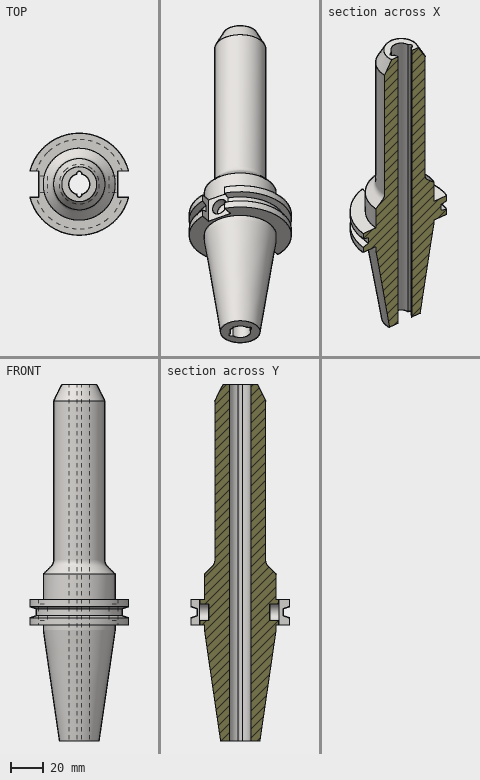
import cadquery as cq
import math

total_height = 220.6

gauge_radius = 22.3
taper_height = 68.5
taper_ratio = 7 / 24
small_end_radius = gauge_radius - taper_height * taper_ratio / 2

flange_diameter = 63.3
flange_radius = flange_diameter / 2
flange_bottom = 71.7
flange_height = 15.9
flange_top = flange_bottom + flange_height
flange_middle = flange_bottom + flange_height / 2
groove_floor_radius = 27.8
groove_mouth = 6.8
groove_floor_width = 4.2

slot_width = 16.0
left_floor_distance = 25.2
right_floor_distance = 23.8
recess_diameter = 10.1
recess_depth = 5.5

shoulder_bottom = 103.3
nose_radius = 15.9
shoulder_angle = 45
blend_radius = 5.5
shoulder_top = shoulder_bottom + (gauge_radius - nose_radius) * math.tan(math.radians(shoulder_angle))

tip_radius = 10.8
tip_bevel_height = 10.1

bore_radius = 6.5
coolant_radius = 1.5


def turned_body():
    """Revolve the shank, flange, shoulder and nose about Z."""
    blend_tangent = blend_radius * math.tan(math.radians(shoulder_angle / 2))
    slope_drop = blend_tangent * math.sin(math.radians(shoulder_angle))
    slope_out = blend_tangent * math.cos(math.radians(shoulder_angle))
    blend_centre_x = nose_radius + blend_radius
    blend_centre_z = shoulder_top + blend_tangent
    half_angle = math.radians(shoulder_angle / 2)
    blend_middle = (
        blend_centre_x - blend_radius * math.cos(half_angle),
        blend_centre_z - blend_radius * math.sin(half_angle),
    )
    return (
        cq.Workplane("XZ")
        .lineTo(small_end_radius, 0)
        .lineTo(gauge_radius, taper_height)
        .lineTo(gauge_radius, flange_bottom)
        .lineTo(flange_radius, flange_bottom)
        .lineTo(flange_radius, flange_middle - groove_mouth / 2)
        .lineTo(groove_floor_radius, flange_middle - groove_floor_width / 2)
        .lineTo(groove_floor_radius, flange_middle + groove_floor_width / 2)
        .lineTo(flange_radius, flange_middle + groove_mouth / 2)
        .lineTo(flange_radius, flange_top)
        .lineTo(gauge_radius, flange_top)
        .lineTo(gauge_radius, shoulder_bottom)
        .lineTo(nose_radius + slope_out, shoulder_top - slope_drop)
        .threePointArc(blend_middle, (nose_radius, blend_centre_z))
        .lineTo(nose_radius, total_height - tip_bevel_height)
        .lineTo(tip_radius, total_height)
        .lineTo(0, total_height)
        .close()
        .revolve(360, (0, 0, 0), (0, 1, 0))
    )


def drive_slot(side, floor_distance):
    """Slot through the flange and the recess in its floor; side is +1 or -1 along X."""
    slot_depth = flange_radius - floor_distance
    slot = cq.Workplane("XY").box(slot_depth, slot_width, flange_height)
    slot = slot.translate((side * (floor_distance + slot_depth / 2), 0, flange_middle))
    recess = (
        cq.Workplane("YZ", origin=(side * floor_distance, 0, flange_middle))
        .circle(recess_diameter / 2)
        .extrude(-side * recess_depth)
    )
    return slot.union(recess)


def bore():
    """Through bore with a pair of coolant grooves along its full length."""
    hole = cq.Workplane("XY").circle(bore_radius).extrude(total_height)
    grooves = (
        cq.Workplane("XY")
        .pushPoints([(0, -bore_radius), (0, bore_radius)])
        .circle(coolant_radius)
        .extrude(total_height)
    )
    return hole.union(grooves)


result = turned_body().cut(bore())
result = result.cut(drive_slot(-1, left_floor_distance))
result = result.cut(drive_slot(1, right_floor_distance))